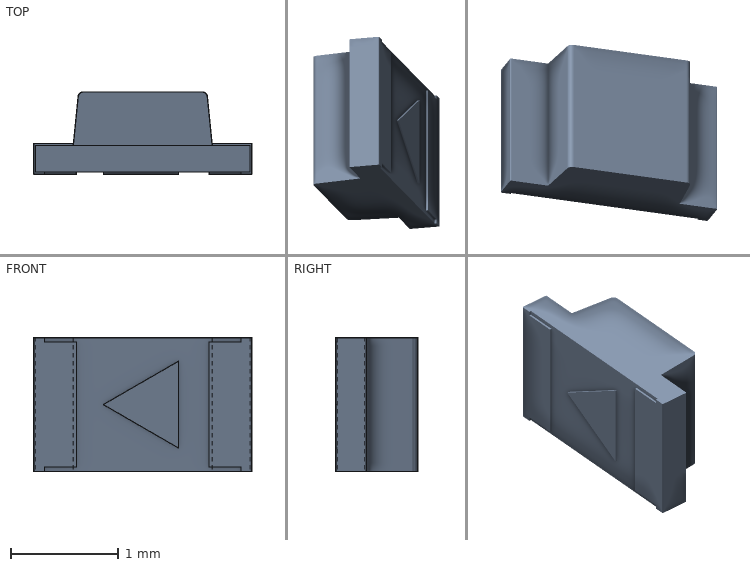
import cadquery as cq
import math

BOARD_LENGTH = 2.0
BOARD_THICKNESS = 0.25
WIDTH = 1.25

PLATING = 0.02
PLATING_FILLET = 0.01

PAD_LENGTH = 0.4
PAD_FULL_WIDTH_LENGTH = 0.1
PAD_SIDE_STEP = 0.04

LENS_HEIGHT = 0.5
LENS_BASE_LENGTH = 1.3
LENS_TOP_LENGTH = 1.2
LENS_FILLET = 0.05

MARK_LENGTH = 0.703
MARK_TIP_X = -0.3685

BOARD_BOTTOM = PLATING
BOARD_TOP = BOARD_BOTTOM + BOARD_THICKNESS
TERMINAL_TOP = BOARD_TOP + PLATING
LENS_TOP = BOARD_TOP + LENS_HEIGHT
BOARD_END = BOARD_LENGTH / 2
TERMINAL_END = BOARD_END + PLATING
PAD_INNER_END = TERMINAL_END - PAD_LENGTH
PAD_STEP_X = TERMINAL_END - PAD_FULL_WIDTH_LENGTH


def extrude_across_width(points):
    """Extrude an outline of (x, y) points over the full width, centred on Z = 0."""
    return cq.Workplane("XY").polyline(points).close().extrude(WIDTH / 2, both=True)


def make_board():
    """Plain board with the raised polarity triangle on its soldering face."""
    slab = extrude_across_width([
        (-BOARD_END, BOARD_BOTTOM),
        (BOARD_END, BOARD_BOTTOM),
        (BOARD_END, BOARD_TOP),
        (-BOARD_END, BOARD_TOP),
    ])
    half_side = MARK_LENGTH * math.tan(math.radians(30))
    mark_base_x = MARK_TIP_X + MARK_LENGTH
    mark = (
        cq.Workplane("XZ")
        .polyline([(MARK_TIP_X, 0), (mark_base_x, half_side), (mark_base_x, -half_side)])
        .close()
        .extrude(-BOARD_BOTTOM)
    )
    return slab.union(mark)


def make_lens():
    """Tapered lens standing on the board, with its two top edges rounded."""
    half_base = LENS_BASE_LENGTH / 2
    half_top = LENS_TOP_LENGTH / 2
    body = extrude_across_width([
        (-half_base, BOARD_TOP),
        (half_base, BOARD_TOP),
        (half_top, LENS_TOP),
        (-half_top, LENS_TOP),
    ])
    return body.faces(">Y").edges("|Z").fillet(LENS_FILLET)


def make_terminal(side_x):
    """C-shaped plating around one board end, side_x = 1 or -1, reaching the lens on top."""
    lens_taper = (LENS_BASE_LENGTH - LENS_TOP_LENGTH) / 2 / LENS_HEIGHT
    lens_x_at_board = LENS_BASE_LENGTH / 2
    lens_x_at_plating = lens_x_at_board - lens_taper * PLATING
    plating = extrude_across_width([
        (PAD_INNER_END, 0),
        (TERMINAL_END, 0),
        (TERMINAL_END, TERMINAL_TOP),
        (lens_x_at_plating, TERMINAL_TOP),
        (lens_x_at_board, BOARD_TOP),
        (BOARD_END, BOARD_TOP),
        (BOARD_END, BOARD_BOTTOM),
        (PAD_INNER_END, BOARD_BOTTOM),
    ])
    plating = plating.faces(">X").edges("|Z").fillet(PLATING_FILLET)

    step_length = PAD_STEP_X - PAD_INNER_END
    for side in (-1, 1):
        step = cq.Workplane("XY").box(step_length, PLATING, PAD_SIDE_STEP).translate((
            PAD_INNER_END + step_length / 2,
            PLATING / 2,
            side * (WIDTH - PAD_SIDE_STEP) / 2,
        ))
        plating = plating.cut(step)
    return plating if side_x > 0 else plating.mirror("YZ")


board = make_board()
lens = make_lens()
terminals = [make_terminal(side_x) for side_x in (-1, 1)]

result = cq.Compound.makeCompound([
    board.val(),
    lens.val(),
    *[terminal.val() for terminal in terminals],
])